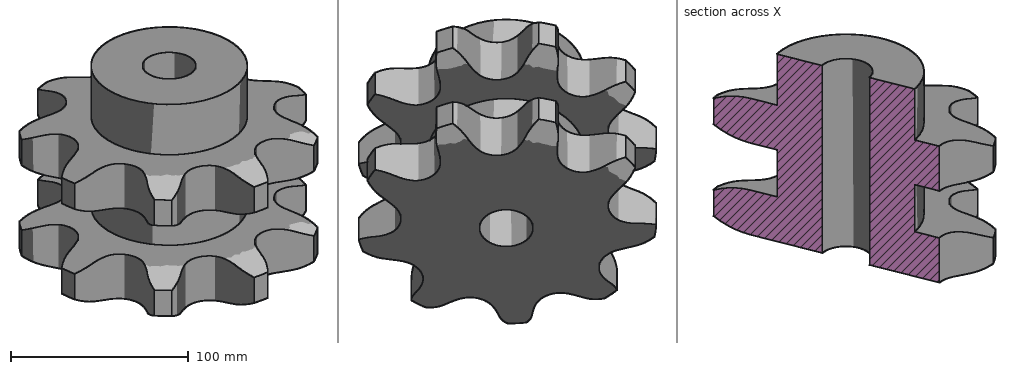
import cadquery as cq
import math

overall_width = 167.9
total_height = 120.0
tooth_count = 9
pitch_diameter = 148.5
roller_diameter = 29.2
row_spacing = 58.5
tooth_width = 28.9
face_diameter = 120.7
hub_diameter = 88.0
bore_diameter = 30.0

pitch_radius = pitch_diameter / 2
face_radius = face_diameter / 2
tooth_spacing = 2 * math.pi / tooth_count
chain_pitch = pitch_diameter * math.sin(tooth_spacing / 2)
side_relief_radius = chain_pitch

seat_clearance = 0.039
seat_radius = 1.005 * roller_diameter / 2 + seat_clearance
working_offset = 0.8 * roller_diameter
working_radius = working_offset + seat_radius
topping_offset = 1.4 * roller_diameter
seat_angle = math.radians(35 + 60 / tooth_count)
working_angle = math.radians(18 - 56 / tooth_count)
flat_angle = math.radians(17 - 64 / tooth_count)
flat_length = topping_offset * math.sin(flat_angle) - working_offset * math.sin(working_angle)


def polar(center, radius, angle):
    return (center[0] + radius * math.cos(angle), center[1] + radius * math.sin(angle))


def rotate(point, angle):
    x, y = point
    return (x * math.cos(angle) - y * math.sin(angle), x * math.sin(angle) + y * math.cos(angle))


def arc_middle(center, start, end):
    """Point halfway along the shorter arc from start to end."""
    toward_chord = math.atan2((start[1] + end[1]) / 2 - center[1], (start[0] + end[0]) / 2 - center[0])
    return polar(center, math.dist(center, start), toward_chord)


def right_flank():
    """Points from seat to tip, up the right side of a tooth space that is centered on +Y."""
    roller_center = (0, pitch_radius)
    seat_end = polar(roller_center, seat_radius, -seat_angle)
    working_center = polar(roller_center, working_offset, math.pi - seat_angle)
    working_end = polar(working_center, working_radius, working_angle - seat_angle)
    working_middle = arc_middle(working_center, seat_end, working_end)
    flat_end = polar(working_end, flat_length, working_angle - seat_angle + math.pi / 2)

    topping_center = polar(roller_center, topping_offset, -tooth_spacing / 2)
    topping_radius = math.dist(topping_center, flat_end)
    turn = -2 * tooth_spacing
    turned_x, turned_y = rotate(topping_center, turn)
    corner_x = overall_width / 2
    corner_y = turned_y + math.sqrt(topping_radius**2 - (corner_x - turned_x) ** 2)
    tip_corner = rotate((corner_x, corner_y), -turn)
    topping_middle = arc_middle(topping_center, flat_end, tip_corner)
    return [seat_end, working_middle, working_end, flat_end, topping_middle, tip_corner]


flank = right_flank()
tip_radius = math.hypot(*flank[-1])


def tooth_blank():
    """Prism with the tooth outline, one tooth space and the tip after it at a time, clockwise."""
    mirrored_flank = [(-x, y) for x, y in flank]
    seat_bottom = (0, pitch_radius - seat_radius)
    tip_middle = rotate((0, tip_radius), -tooth_spacing / 2)
    next_corner = rotate(mirrored_flank[-1], -tooth_spacing)
    outline = cq.Workplane("XY").moveTo(*mirrored_flank[-1])
    for index in range(tooth_count):
        space = [*mirrored_flank[::-1], seat_bottom, *flank, tip_middle, next_corner]
        points = [rotate(point, -index * tooth_spacing) for point in space]
        outline = (
            outline.threePointArc(points[1], points[2])
            .lineTo(*points[3])
            .threePointArc(points[4], points[5])
            .threePointArc(points[6], points[7])
            .threePointArc(points[8], points[9])
            .lineTo(*points[10])
            .threePointArc(points[11], points[12])
            .threePointArc(points[13], points[14])
        )
    return outline.close().extrude(tooth_width)


def relieved_disc():
    """Solid of revolution with flat faces that curve inward toward the tip circle."""
    tip_sweep = math.asin((tip_radius - face_radius) / side_relief_radius)
    tip_drop = side_relief_radius * (1 - math.cos(tip_sweep))
    middle_drop = side_relief_radius * (1 - math.cos(tip_sweep / 2))
    middle_radius = face_radius + side_relief_radius * math.sin(tip_sweep / 2)
    return (
        cq.Workplane("XZ")
        .lineTo(face_radius, 0)
        .threePointArc((middle_radius, middle_drop), (tip_radius, tip_drop))
        .lineTo(tip_radius, tooth_width - tip_drop)
        .threePointArc((middle_radius, tooth_width - middle_drop), (face_radius, tooth_width))
        .lineTo(0, tooth_width)
        .close()
        .revolve(360, (0, 0), (0, 1))
    )


lower_row = tooth_blank().intersect(relieved_disc())
upper_row = lower_row.translate((0, 0, row_spacing))
hub = cq.Workplane("XY").circle(hub_diameter / 2).extrude(total_height)
bore = cq.Workplane("XY").circle(bore_diameter / 2).extrude(total_height)

result = hub.union(lower_row).union(upper_row).cut(bore)